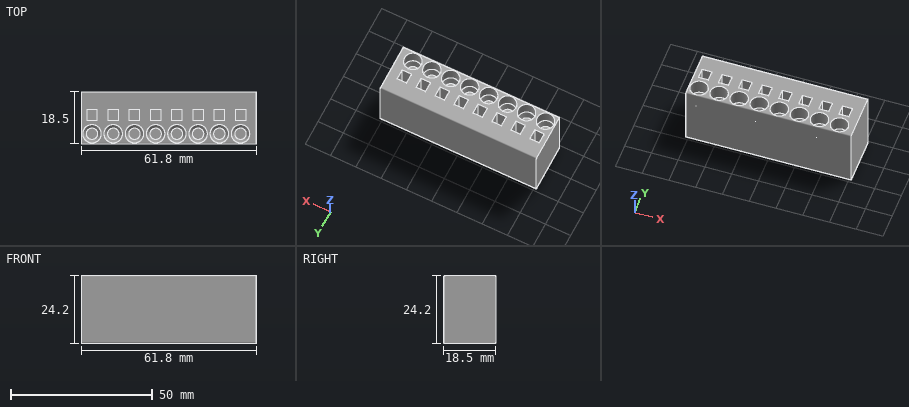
import cadquery as cq

length = 61.8
width = 18.5
height = 24.15
edge_radius = 0.5

pole_count = 8
pitch = 7.5
first_pole_x = 3.75

entry_y = 3.7
entry_diameter = 6.5
entry_bottom_diameter = 4.0
entry_bore_depth = 6.0
entry_cone_depth = 2.05

slot_y = 10.35
slot_size_x = 3.7
slot_size_y = 3.9
slot_depth = 12.0


def make_block():
    """Block with one corner at the origin and its long edges rounded."""
    block = cq.Workplane("XY").box(length, width, height, centered=False)
    return block.edges("|X").fillet(edge_radius)


def make_wire_entry(x):
    """Cutter for one wire entry, revolved about its vertical axis."""
    bore_end_z = height - entry_bore_depth
    bottom_z = bore_end_z - entry_cone_depth
    return (
        cq.Workplane("XZ", origin=(x, entry_y, 0))
        .moveTo(0, height)
        .lineTo(entry_diameter / 2, height)
        .lineTo(entry_diameter / 2, bore_end_z)
        .lineTo(entry_bottom_diameter / 2, bottom_z)
        .lineTo(0, bottom_z)
        .close()
        .revolve(360, (0, 0, 0), (0, 1, 0))
    )


def make_release_slot(x):
    """Cutter for one rectangular release slot."""
    return (
        cq.Workplane("XY", origin=(x, slot_y, height - slot_depth))
        .rect(slot_size_x, slot_size_y)
        .extrude(slot_depth)
    )


result = make_block()
for pole in range(pole_count):
    pole_x = first_pole_x + pole * pitch
    result = result.cut(make_wire_entry(pole_x))
    result = result.cut(make_release_slot(pole_x))